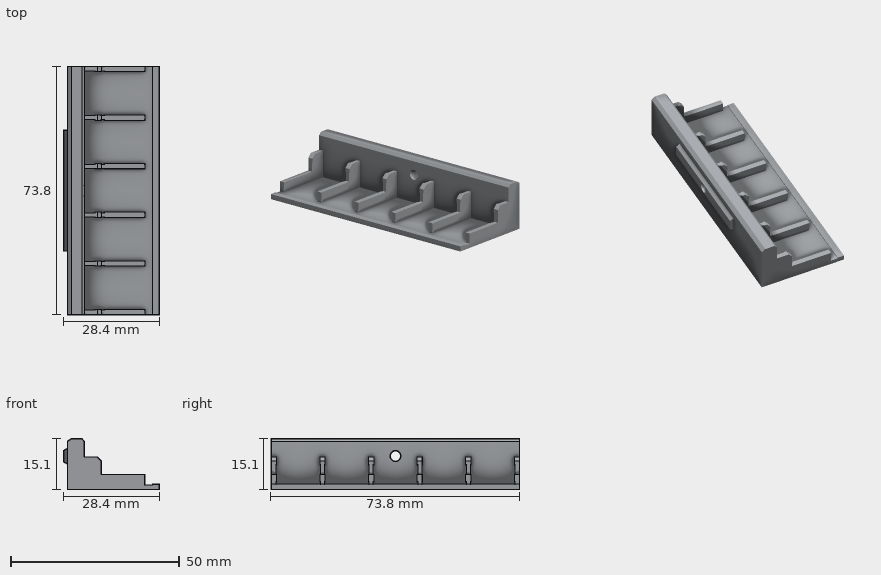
import cadquery as cq

length = 73.85
height = 15.13
base_depth = 27.3

wall_thickness = 5.05
shelf_end = 10.05
shelf_height = 9.7
rib_end = 23.0
rib_height = 4.5
shelf_chamfer = 1.2
wall_back_chamfer = (1.2, 0.75)
wall_front_chamfer = (0.75, 0.9)

floor_height = 1.35
lip_start = 25.2
lip_height = 1.6

bay_count = 5
rib_width = 1.6
bay_pitch = (length - rib_width) / bay_count
bay_width = bay_pitch - rib_width

bay_relief = 0.2
relief_shelf_end = 8.1
relief_step_end = 10.85
relief_step_height = 7.3
relief_low_height = 2.25

rail_length = 36.0
rail_depth = 1.15
rail_bottom = 7.6
rail_top = 12.25
rail_top_bevel = 0.65
rail_bottom_bevel = 0.6
hole_diameter = 3.1
hole_height = 9.95


def extrude_along_y(points, width, center_y=0):
    """Extrude an XZ outline symmetrically about the plane Y = center_y."""
    profile = cq.Workplane("XZ", origin=(0, center_y, 0)).polyline(points).close()
    return profile.extrude(width / 2, both=True)


def make_body():
    back_run, back_drop = wall_back_chamfer
    front_run, front_drop = wall_front_chamfer
    outline = [
        (0, 0),
        (base_depth, 0),
        (base_depth, lip_height),
        (lip_start, lip_height),
        (lip_start, floor_height),
        (rib_end, floor_height),
        (rib_end, rib_height),
        (shelf_end, rib_height),
        (shelf_end, shelf_height - shelf_chamfer),
        (shelf_end - shelf_chamfer, shelf_height),
        (wall_thickness, shelf_height),
        (wall_thickness, height - front_drop),
        (wall_thickness - front_run, height),
        (back_run, height),
        (0, height - back_drop),
    ]
    return extrude_along_y(outline, length)


def make_bay(center_y):
    """Space of one bay: a plain slot plus the wider stepped relief."""
    slot_outline = [
        (wall_thickness, floor_height),
        (rib_end, floor_height),
        (rib_end, shelf_height),
        (wall_thickness, shelf_height),
    ]
    relief_outline = [
        (wall_thickness, floor_height),
        (rib_end, floor_height),
        (rib_end, relief_low_height),
        (relief_step_end, relief_low_height),
        (relief_step_end, relief_step_height),
        (relief_shelf_end, relief_step_height),
        (relief_shelf_end, shelf_height),
        (wall_thickness, shelf_height),
    ]
    slot = extrude_along_y(slot_outline, bay_width, center_y)
    relief = extrude_along_y(relief_outline, bay_width + 2 * bay_relief, center_y)
    return slot.union(relief)


def make_rail():
    outline = [
        (0, rail_bottom),
        (0, rail_top),
        (-rail_depth, rail_top - rail_top_bevel),
        (-rail_depth, rail_bottom + rail_bottom_bevel),
    ]
    return extrude_along_y(outline, rail_length)


def make_screw_hole():
    start = cq.Workplane("YZ", origin=(-rail_depth, 0, hole_height))
    return start.circle(hole_diameter / 2).extrude(rail_depth + wall_thickness)


result = make_body().union(make_rail())
for index in range(bay_count):
    bay_center = (index - (bay_count - 1) / 2) * bay_pitch
    result = result.cut(make_bay(bay_center))
result = result.cut(make_screw_hole())